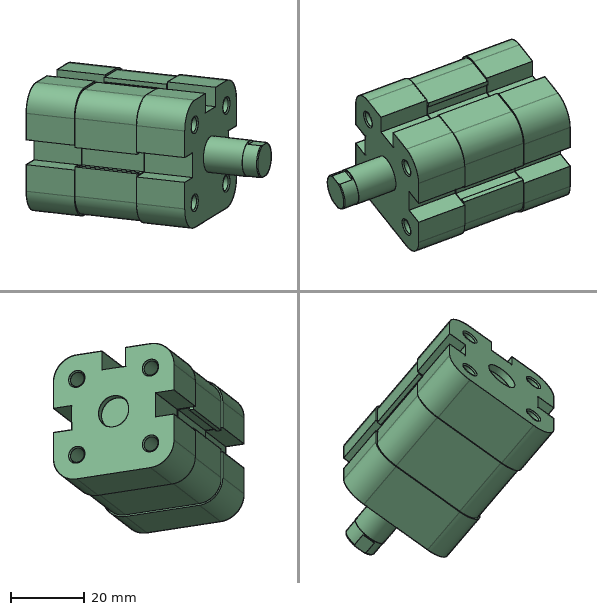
import cadquery as cq

cap_width = 36.0
cap_length = 14.3
barrel_length = 18.4
barrel_width = 35.0
bolt_spacing = 22.0
bolt_hole_diameter = 4.1
bolt_chamfer = 0.4

cap_slot_width = 7.0
cap_slot_depth = 5.5
barrel_slot_width = 6.6
barrel_slot_floor = 12.85
lip_gap = 5.5
lip_thickness = 1.4

recess_diameter = 9.0
recess_depth = 2.0

total_length = 63.0
rod_diameter = 10.0
tip_diameter = 9.8
tip_length = 4.55
tip_chamfer_length = 0.3
tip_chamfer_depth = 0.2
flat_distance = 9.0

barrel_start = cap_length
front_cap_start = barrel_start + barrel_length
body_length = front_cap_start + cap_length
tip_start = total_length - tip_length
corner_center = bolt_spacing / 2
SLOT_ANGLES = (0, 90, -90)
HOLE_EDGES = cq.selectors.RadiusNthSelector(0)


def plane_at(x):
    """Plane across the axis at x, with local axes along Y and Z."""
    return cq.Workplane("YZ", origin=(x, 0, 0))


def rounded_block(start, length, width):
    """Square block with round corners along X."""
    radius = width / 2 - corner_center
    return plane_at(start).rect(width, width).extrude(length).edges("|X").fillet(radius)


def cut_on_slot_sides(block, start, length, width, floor, top):
    """Cut a channel between two heights above the axis on every slotted side."""
    channel = (
        plane_at(start)
        .center(0, (floor + top) / 2)
        .rect(width, top - floor)
        .extrude(length)
    )
    for angle in SLOT_ANGLES:
        block = block.cut(channel.rotate((0, 0, 0), (1, 0, 0), angle))
    return block


def cut_bolt_holes(block, start, length):
    """Cut the four through holes."""
    holes = (
        plane_at(start)
        .rect(bolt_spacing, bolt_spacing, forConstruction=True)
        .vertices()
        .circle(bolt_hole_diameter / 2)
        .extrude(length)
    )
    return block.cut(holes)


def make_cap(start):
    """End cap with three open slots and four bolt holes."""
    half_width = cap_width / 2
    cap = rounded_block(start, cap_length, cap_width)
    cap = cut_on_slot_sides(
        cap, start, cap_length, cap_slot_width, half_width - cap_slot_depth, half_width
    )
    return cut_bolt_holes(cap, start, cap_length)


def chamfer_holes(cap, face):
    """Break the edges of the bolt holes on one end face of a cap."""
    return cap.faces(face).edges("%CIRCLE").edges(HOLE_EDGES).chamfer(bolt_chamfer)


def make_rear_cap():
    """Rear cap with a blind round recess on the axis."""
    cap = chamfer_holes(make_cap(0), "<X")
    recess = plane_at(0).circle(recess_diameter / 2).extrude(recess_depth)
    return cap.cut(recess)


def make_front_cap():
    """Front cap."""
    return chamfer_holes(make_cap(front_cap_start), ">X")


def make_barrel():
    """Barrel with three lipped slots."""
    half_width = barrel_width / 2
    lip_floor = half_width - lip_thickness
    barrel = rounded_block(barrel_start, barrel_length, barrel_width)
    barrel = cut_on_slot_sides(
        barrel, barrel_start, barrel_length, barrel_slot_width, barrel_slot_floor, lip_floor
    )
    barrel = cut_on_slot_sides(
        barrel, barrel_start, barrel_length, lip_gap, lip_floor, half_width
    )
    return cut_bolt_holes(barrel, barrel_start, barrel_length)


def make_rod():
    """Piston rod on the front face, its tip milled with two flats that run out at 45 degrees."""
    rod_radius = rod_diameter / 2
    tip_radius = tip_diameter / 2
    rod = (
        cq.Workplane("XZ")
        .moveTo(body_length, 0)
        .lineTo(body_length, rod_radius)
        .lineTo(tip_start, rod_radius)
        .lineTo(tip_start, tip_radius)
        .lineTo(total_length - tip_chamfer_length, tip_radius)
        .lineTo(total_length, tip_radius - tip_chamfer_depth)
        .lineTo(total_length, 0)
        .close()
        .revolve(360, (0, 0, 0), (1, 0, 0))
    )
    flat_height = flat_distance / 2
    runout = rod_radius - flat_height
    flat_cut = (
        cq.Workplane("XZ")
        .moveTo(tip_start, rod_radius)
        .lineTo(tip_start + runout, flat_height)
        .lineTo(total_length, flat_height)
        .lineTo(total_length, rod_radius)
        .close()
        .extrude(rod_radius, both=True)
    )
    return rod.cut(flat_cut).cut(flat_cut.mirror("XY"))


rear_cap = make_rear_cap()
barrel = make_barrel()
front_cap = make_front_cap()
rod = make_rod()

result = cq.Compound.makeCompound(
    [rear_cap.val(), barrel.val(), front_cap.val(), rod.val()]
)